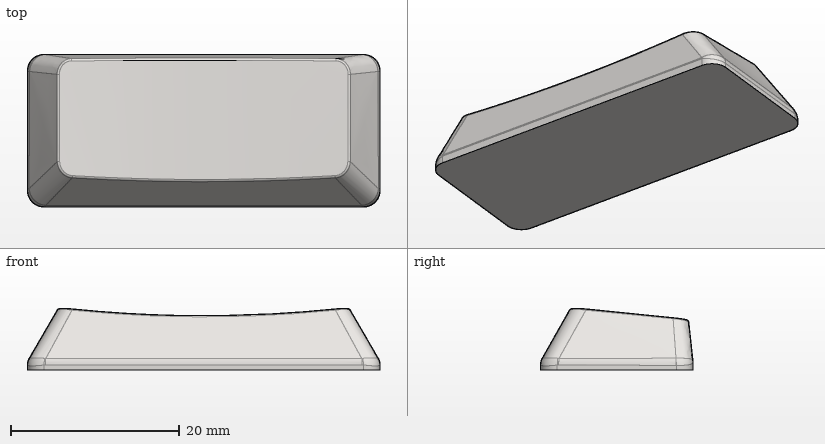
import cadquery as cq
import math


length = 41.97
width = 18.16
skirt_height = 1.03
skirt_corner_radius = 2.0
shoulder_radius = 1.5

side_inset = 3.7
front_inset = 3.7
back_inset = 0.55
rim_front_height = 7.573
rim_slope = math.radians(5.8)
rim_corner_radius = 1.85
rim_fillet = 0.3

dish_end_drop = 0.1
dish_front_sag = 1.02
dish_back_sag = 0.67
dish_clearance = 2.0

rim_front_y = -width / 2 + front_inset
rim_back_y = width / 2 - back_inset
rim_span_y = rim_back_y - rim_front_y
rim_length = length - 2 * side_inset
rim_width = rim_span_y / math.cos(rim_slope)
rim_centre_y = (rim_front_y + rim_back_y) / 2
rim_centre_z = rim_front_height - rim_span_y / 2 * math.tan(rim_slope)
rim_plane = cq.Plane(
    origin=(0, rim_centre_y, rim_centre_z),
    xDir=(1, 0, 0),
    normal=(0, math.sin(rim_slope), math.cos(rim_slope)),
)
skirt_top_plane = cq.Plane(origin=(0, 0, skirt_height))


def rounded_rectangle(size_x, size_y, radius):
    return cq.Sketch().rect(size_x, size_y).vertices().fillet(radius)


skirt_outline = rounded_rectangle(length, width, skirt_corner_radius)
rim_outline = rounded_rectangle(rim_length, rim_width, rim_corner_radius)


def make_skirt():
    return cq.Workplane("XY").placeSketch(skirt_outline).extrude(skirt_height)


def make_body():
    """Straight-sided taper from the top of the skirt up to the sloping rim."""
    foot = skirt_outline.moved(skirt_top_plane.location)
    rim = rim_outline.moved(rim_plane.location)
    return cq.Workplane("XY").placeSketch(foot, rim).loft(ruled=True)


def dish_sag_at(rim_y):
    """Sag of the arch, linear in the distance along the rim plane."""
    back_share = rim_y / rim_width + 0.5
    return dish_front_sag + back_share * (dish_back_sag - dish_front_sag)


def dish_section(rim_y):
    """Closed outline across the key: an arc below, sides and a flat lid above.

    The arc spans the rim just below the rim plane and continues past both ends.
    """
    sag = dish_sag_at(rim_y)
    radius = ((rim_length / 2) ** 2 + sag**2) / (2 * sag)
    bottom_z = -dish_end_drop - sag
    end_x = rim_length / 2 + dish_clearance
    end_z = bottom_z + radius - math.sqrt(radius**2 - end_x**2)
    lid_z = end_z + dish_clearance
    section_plane = cq.Plane(
        origin=rim_plane.toWorldCoords((0, rim_y, 0)),
        xDir=(1, 0, 0),
        normal=-rim_plane.yDir,
    )
    outline = (
        cq.Workplane(section_plane)
        .moveTo(-end_x, end_z)
        .threePointArc((0, bottom_z), (end_x, end_z))
        .lineTo(end_x, lid_z)
        .lineTo(-end_x, lid_z)
        .close()
    )
    return outline.val()


def make_dish():
    """Cutter for the top, reaching past the front and back of the rim."""
    reach = rim_width / 2 + dish_clearance
    cutter = cq.Solid.makeLoft([dish_section(-reach), dish_section(reach)], True)
    return cq.Workplane(cutter)


def round_shoulder(keycap):
    """Blend the upright skirt into the tapered body."""
    tolerance = 0.01
    shoulder_edges = keycap.edges(
        cq.selectors.BoxSelector(
            (-length, -width, skirt_height - tolerance),
            (length, width, skirt_height + tolerance),
            boundingbox=True,
        )
    )
    return shoulder_edges.fillet(shoulder_radius)


def round_rim(keycap):
    return keycap.faces(">Z").edges().fillet(rim_fillet)


keycap = round_shoulder(make_skirt().union(make_body()))
result = round_rim(keycap.cut(make_dish()))